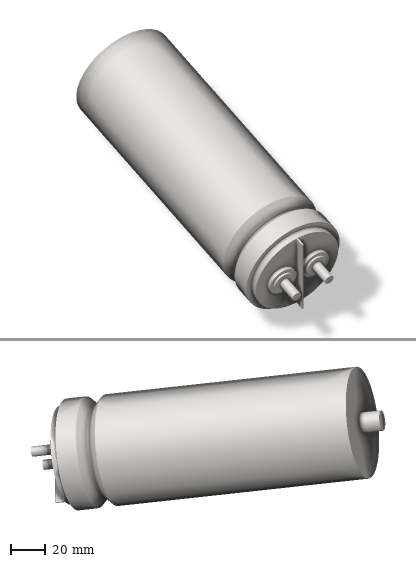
import cadquery as cq

CAN_DIAMETER = 65.5
CAN_LENGTH = 176.7
CAN_RADIUS = CAN_DIAMETER / 2

STUD_DIAMETER = 12.0
STUD_LENGTH = 12.0

GROOVE_CENTER_X = 158.6
GROOVE_MOUTH_WIDTH = 11.6
GROOVE_FLOOR_WIDTH = 1.1
GROOVE_DEPTH = 5.1
GROOVE_EDGE_RADIUS = 1.0

COVER_DIAMETER = 57.8
COVER_THICKNESS = 4.3
COVER_FACE_X = CAN_LENGTH + COVER_THICKNESS

WALL_THICKNESS = 1.0
WALL_HEIGHT = 6.0
WALL_EDGE_RADIUS = 0.4

TERMINAL_SPACING = 22.8
COLLAR_DIAMETER = 18.6
COLLAR_HEIGHT = 2.5
WASHER_DIAMETER = 13.6
WASHER_HEIGHT = 1.2
PIN_DIAMETER = 6.0
PIN_END_X = 197.5


def rod(start_x, length, diameter, center_y=0.0):
    """Solid cylinder along +X starting at start_x."""
    plane = cq.Workplane("YZ", origin=(start_x, center_y, 0))
    return plane.circle(diameter / 2).extrude(length)


def make_can():
    """Can with the rolled groove rounded at its mouth and floor."""
    can = rod(0, CAN_LENGTH, CAN_DIAMETER)
    floor_radius = CAN_RADIUS - GROOVE_DEPTH
    half_mouth = GROOVE_MOUTH_WIDTH / 2
    half_floor = GROOVE_FLOOR_WIDTH / 2
    groove = (
        cq.Workplane("XY")
        .moveTo(GROOVE_CENTER_X - half_mouth, CAN_RADIUS)
        .lineTo(GROOVE_CENTER_X - half_floor, floor_radius)
        .lineTo(GROOVE_CENTER_X + half_floor, floor_radius)
        .lineTo(GROOVE_CENTER_X + half_mouth, CAN_RADIUS)
        .close()
        .revolve(360, (0, 0, 0), (1, 0, 0))
    )
    can = can.cut(groove)
    groove_zone = cq.selectors.BoxSelector(
        (GROOVE_CENTER_X - GROOVE_MOUTH_WIDTH, -CAN_DIAMETER, -CAN_DIAMETER),
        (GROOVE_CENTER_X + GROOVE_MOUTH_WIDTH, CAN_DIAMETER, CAN_DIAMETER),
    )
    return can.edges("%CIRCLE").edges(groove_zone).fillet(GROOVE_EDGE_RADIUS)


def make_wall():
    """Thin upright wall along Z, as tall as the cover, with a rounded free edge."""
    plane = cq.Workplane("YZ", origin=(COVER_FACE_X, 0, 0))
    wall = plane.rect(WALL_THICKNESS, COVER_DIAMETER).extrude(WALL_HEIGHT)
    return wall.faces(">X").edges("|Z").fillet(WALL_EDGE_RADIUS)


def make_terminal(center_y):
    """Collar, washer and pin stacked on the cover."""
    washer_x = COVER_FACE_X + COLLAR_HEIGHT
    pin_x = washer_x + WASHER_HEIGHT
    collar = rod(COVER_FACE_X, COLLAR_HEIGHT, COLLAR_DIAMETER, center_y)
    washer = rod(washer_x, WASHER_HEIGHT, WASHER_DIAMETER, center_y)
    pin = rod(pin_x, PIN_END_X - pin_x, PIN_DIAMETER, center_y)
    return collar.union(washer).union(pin)


result = make_can()
result = result.union(rod(-STUD_LENGTH, STUD_LENGTH, STUD_DIAMETER))
result = result.union(rod(CAN_LENGTH, COVER_THICKNESS, COVER_DIAMETER))
result = result.union(make_wall())
for side in (-1, 1):
    result = result.union(make_terminal(side * TERMINAL_SPACING / 2))